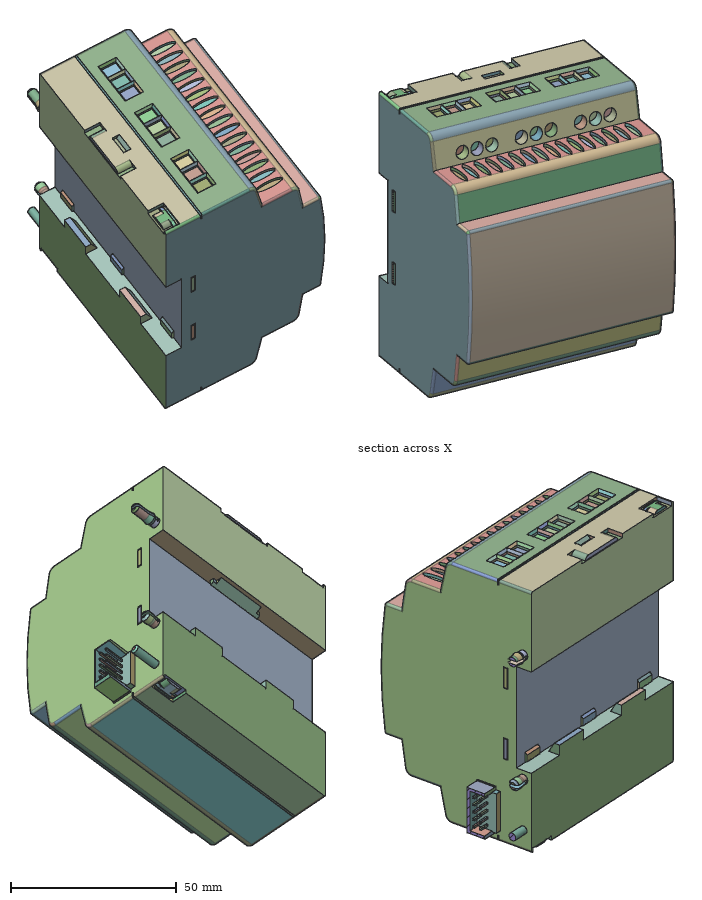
import cadquery as cq
import math

BODY_WIDTH = 71.0
BODY_HEIGHT = 90.0
BODY_DEPTH = 57.2
SIDE_X = BODY_WIDTH / 2
TOP_Z = BODY_HEIGHT / 2

TERMINAL_STEP_BASE_Y = 34.7
TERMINAL_STEP_EDGE_Y = 32.3
VENT_STEP_Z = 34.0
VENT_STEP_BASE_Y = 49.3
VENT_STEP_EDGE_Y = 47.6
FRONT_STEP_Z = 22.65
FRONT_EDGE_Y = 55.6
STEP_RADIUS = 2.7
FRONT_CORNER_RADIUS = 0.9
SIDE_EDGE_RADIUS = 0.75

RAIL_WIDTH = 35.0
RAIL_DEPTH = 5.6
RAIL_Z = RAIL_WIDTH / 2

SEAM_Y = 12.7
SEAM_WIDTH = 0.65
SEAM_DEPTH = 0.15
NICK_WIDTH = 0.35
NICK_DEPTH = 0.3
NICK_LENGTH = 1.7

TERMINAL_PITCH = 5.08
TERMINALS_PER_GROUP = 3
GROUP_PITCH = 20.35
GROUP_COUNT = 3
TERMINAL_Y = 19.45
TERMINAL_LENGTH = 6.55
MOUTH_DEPTH = 0.9
MOUTH_INSET = 0.63
TERMINAL_DEPTH = 1.7
SCREW_HOLE_DIAMETER = 4.2
SCREW_HOLE_Z = 37.4
SCREW_HOLE_END_Y = 31.0

VENT_COUNT = 16
VENT_PITCH = 4.0
VENT_Y = 40.2
VENT_LENGTH = 9.7
VENT_WIDTH = 2.4
VENT_DEPTH = 1.0

CLIP_HALF_WIDTH = 10.1
CLIP_RECESS_DEPTH = 1.35
CLIP_RECESS_END_Y = 5.5
CLIP_FLOOR_Z = TOP_Z - CLIP_RECESS_DEPTH
GRIP_START_Y = 0.3
GRIP_BASE_HALF = 8.2
GRIP_TOP_HALF = 6.45
CATCH_TIP_Y = 4.35
CATCH_REAR_Y = 4.7
CATCH_START_Y = 1.3
CATCH_DROP = 2.1
CATCH_CENTER_HALF = 8.7
CATCH_END_Y = 3.25

POCKET_HALF_WIDTH = 3.2
POCKET_START_Y = 5.5
POCKET_RAMP_Y = 6.9
POCKET_END_Y = 8.05
POCKET_DEPTH = 1.0

FOOT_X = 30.0
FOOT_HALF_WIDTH = 4.55
FOOT_STEM_START_Y = 0.65
FOOT_HEAD_START_Y = 3.6
FOOT_LEDGE_Y = 4.8
FOOT_TOP_DROP = 0.3
FOOT_LEDGE_DROP = 0.55
FOOT_STEM_BASE_HALF = 3.15
FOOT_STEM_TOP_HALF = 1.35
FOOT_HEAD_BASE_HALF = 4.3
FOOT_HEAD_TOP_HALF = 2.4

HOOK_X = 15.45
HOOK_WIDTH = 11.9
HOOK_RISE = 3.5
HOOK_TIP_Y = 2.0
HOOK_ROOT_Y = 4.1

PAD_COUNT = 3
PAD_PITCH = 28.0
PAD_WIDTH = 6.35
PAD_THICKNESS = 0.75
PAD_LOWER_CHAMFER = 0.4

RIB_HEIGHT = 0.3
RIB_LENGTH = 7.1
RIB_Z = 12.25
RIB_START_Y = 8.9
RIB_CREST_Y = 10.05
RIB_END_Y = 10.6

PROJECTION = 9.6
TIP_X = -SIDE_X - PROJECTION
PEG_Y = 3.0
PEG_RADIUS = 1.65
PEG_TIP_RADIUS = 1.15
PEG_TIP_LENGTH = 0.75
LIP_CREST_X = -38.1
LIP_END_X = -37.2
UPPER_LIP_START_X = -40.0
UPPER_LIP_RADIUS = 2.0
LOWER_LIP_RADIUS = 1.85
PEG_SLOT_WIDTH = 1.0
PEG_SLOT_END_X = -36.0
UPPER_PEG_Z = 22.4
LOWER_PEG_Z = -20.5
LOWER_PEG_TIP_X = -40.8
PIN_Z = -38.0
PIN_RADIUS = 1.35
PIN_TIP_RADIUS = 0.6
PIN_TIP_LENGTH = 0.45

SOCKET_Z = -34.46
SOCKET_HEIGHT = 15.8
SOCKET_START_Y = 13.4
SOCKET_END_Y = 20.2
SOCKET_CHAMFER = 0.75
SOCKET_RIM_WALL = 0.85
SOCKET_FLOOR_WALL = 1.4
SOCKET_BACK_WALL = 1.25
SOCKET_BASE_Y = 11.7
SOCKET_BASE_HALF = 6.8
SOCKET_FLOOR_X = -37.5
FLANGE_THICKNESS = 0.5
FLANGE_OVERHANG = 0.15
CONTACT_PITCH = 2.54
CONTACT_ROWS = 5
CONTACT_Y = (15.2, 17.7)
CONTACT_SIZE = 0.64
CONTACT_TIP_X = TIP_X + 0.3
CONTACT_POINT = 0.35
CONTACT_TIP_RATIO = 0.1

OVERLAP = 0.3


def box(x0, x1, y0, y1, z0, z1):
    return cq.Workplane("XY").box(x1 - x0, y1 - y0, z1 - z0, centered=False).translate((x0, y0, z0))


def side_prism(points, x0, x1):
    """Extrude a (Y, Z) outline from x0 to x1."""
    return cq.Workplane("YZ").workplane(offset=x0).polyline(points).close().extrude(x1 - x0)


def spread(count, pitch):
    """Positions of `count` items centred on zero."""
    return [(i - (count - 1) / 2) * pitch for i in range(count)]


def stepped_block():
    rising = [
        (TERMINAL_STEP_EDGE_Y, TOP_Z),
        (TERMINAL_STEP_BASE_Y, VENT_STEP_Z),
        (VENT_STEP_EDGE_Y, VENT_STEP_Z),
        (VENT_STEP_BASE_Y, FRONT_STEP_Z),
        (FRONT_EDGE_Y, FRONT_STEP_Z),
    ]
    outline = cq.Workplane("YZ").workplane(offset=-SIDE_X).moveTo(0, -TOP_Z).lineTo(0, TOP_Z)
    for point in rising:
        outline = outline.lineTo(*point)
    outline = outline.threePointArc((BODY_DEPTH, 0), (FRONT_EDGE_Y, -FRONT_STEP_Z))
    for y, z in reversed(rising[:-1]):
        outline = outline.lineTo(y, -z)
    block = outline.close().extrude(BODY_WIDTH)

    for corner, radius in (
        (rising[0], STEP_RADIUS),
        (rising[2], STEP_RADIUS),
        (rising[4], FRONT_CORNER_RADIUS),
    ):
        for side in (1, -1):
            point = (0, corner[0], side * corner[1])
            block = block.edges(cq.selectors.NearestToPointSelector(point)).fillet(radius)
    rim = block.faces("<X or >X").edges().filter(lambda edge: edge.Center().y > SIDE_EDGE_RADIUS)
    return block.newObject(rim.vals()).fillet(SIDE_EDGE_RADIUS)


def rail_channel():
    return box(-SIDE_X, SIDE_X, 0, RAIL_DEPTH, -RAIL_Z, RAIL_Z)


def seams():
    upper = box(
        -SIDE_X, SIDE_X,
        SEAM_Y - SEAM_WIDTH / 2, SEAM_Y + SEAM_WIDTH / 2,
        TOP_Z - SEAM_DEPTH, TOP_Z,
    )
    nick = box(
        SIDE_X - NICK_DEPTH, SIDE_X,
        SEAM_Y - NICK_WIDTH / 2, SEAM_Y + NICK_WIDTH / 2,
        TOP_Z - NICK_LENGTH, TOP_Z,
    )
    upper = upper.union(nick).union(nick.mirror("YZ"))
    return upper.union(upper.mirror("XY"))


def terminal_positions():
    return [
        group + cell
        for group in spread(GROUP_COUNT, GROUP_PITCH)
        for cell in spread(TERMINALS_PER_GROUP, TERMINAL_PITCH)
    ]


def cut_terminals(body):
    mouth_taper = math.degrees(math.atan(MOUTH_INSET / MOUTH_DEPTH))
    well_width = TERMINAL_PITCH - 2 * MOUTH_INSET
    well_length = TERMINAL_LENGTH - 2 * MOUTH_INSET
    for x in terminal_positions():
        mouth = (
            cq.Workplane("XY", origin=(x, TERMINAL_Y, TOP_Z))
            .rect(TERMINAL_PITCH, TERMINAL_LENGTH)
            .extrude(-MOUTH_DEPTH, taper=mouth_taper)
        )
        well = (
            cq.Workplane("XY", origin=(x, TERMINAL_Y, TOP_Z))
            .rect(well_width, well_length)
            .extrude(-TERMINAL_DEPTH)
        )
        screw_hole = (
            cq.Workplane("XZ", origin=(x, SCREW_HOLE_END_Y, SCREW_HOLE_Z))
            .circle(SCREW_HOLE_DIAMETER / 2)
            .extrude(SCREW_HOLE_END_Y - TERMINAL_STEP_BASE_Y)
        )
        body = body.cut(mouth).cut(well).cut(screw_hole)
    return body


def vents():
    return (
        cq.Workplane("XY", origin=(0, VENT_Y, VENT_STEP_Z))
        .pushPoints([(x, 0) for x in spread(VENT_COUNT, VENT_PITCH)])
        .ellipse(VENT_WIDTH / 2, VENT_LENGTH / 2)
        .extrude(-VENT_DEPTH)
    )


def raised_grip(x, base_half, top_half, y0, y1, top_z):
    """Ridge along Y on the recess floor, whose flanks curve level into its top."""
    rise = top_z - CLIP_FLOOR_Z
    lean = base_half - top_half
    flank_radius = (lean ** 2 + rise ** 2) / (2 * rise)
    half_sweep = math.atan2(rise, lean)
    bulge_x = top_half + flank_radius * math.sin(half_sweep)
    bulge_z = top_z - flank_radius * (1 - math.cos(half_sweep))
    return (
        cq.Workplane("XZ", origin=(x, y1, 0))
        .moveTo(-base_half, CLIP_FLOOR_Z - OVERLAP)
        .lineTo(-base_half, CLIP_FLOOR_Z)
        .threePointArc((-bulge_x, bulge_z), (-top_half, top_z))
        .lineTo(top_half, top_z)
        .threePointArc((bulge_x, bulge_z), (base_half, CLIP_FLOOR_Z))
        .lineTo(base_half, CLIP_FLOOR_Z - OVERLAP)
        .close()
        .extrude(y1 - y0)
    )


def clip_catch():
    root_z = RAIL_Z + OVERLAP
    tip_z = RAIL_Z - CATCH_DROP
    profile = [
        (CATCH_START_Y, RAIL_Z),
        (CATCH_TIP_Y, tip_z),
        (CATCH_REAR_Y, RAIL_Z),
        (CATCH_REAR_Y, root_z),
        (CATCH_START_Y, root_z),
    ]
    catch = side_prism(profile, -CLIP_HALF_WIDTH, CLIP_HALF_WIDTH)
    for side in (1, -1):
        x0, x1 = sorted((side * CATCH_CENTER_HALF, side * CLIP_HALF_WIDTH))
        catch = catch.cut(box(x0, x1, 0, CATCH_END_Y, tip_z, RAIL_Z))
    return catch


def add_rail_clip(body):
    recess = box(
        -CLIP_HALF_WIDTH, CLIP_HALF_WIDTH, 0, CLIP_RECESS_END_Y, CLIP_FLOOR_Z, TOP_Z
    )
    pocket = side_prism(
        [
            (POCKET_START_Y, TOP_Z),
            (POCKET_END_Y, TOP_Z),
            (POCKET_RAMP_Y, TOP_Z - POCKET_DEPTH),
            (POCKET_START_Y, TOP_Z - POCKET_DEPTH),
        ],
        -POCKET_HALF_WIDTH,
        POCKET_HALF_WIDTH,
    )
    grip = raised_grip(0, GRIP_BASE_HALF, GRIP_TOP_HALF, GRIP_START_Y, CLIP_RECESS_END_Y, TOP_Z)
    return body.cut(recess).union(grip).cut(pocket).union(clip_catch())


def add_corner_feet(body):
    recess = box(
        FOOT_X - FOOT_HALF_WIDTH, FOOT_X + FOOT_HALF_WIDTH,
        0, CLIP_RECESS_END_Y,
        CLIP_FLOOR_Z, TOP_Z,
    )
    stem_base, stem_top = FOOT_STEM_BASE_HALF, FOOT_STEM_TOP_HALF
    head_base, head_top = FOOT_HEAD_BASE_HALF, FOOT_HEAD_TOP_HALF
    foot_z = TOP_Z - FOOT_TOP_DROP
    ledge_z = TOP_Z - FOOT_LEDGE_DROP
    stem = raised_grip(FOOT_X, stem_base, stem_top, FOOT_STEM_START_Y, FOOT_HEAD_START_Y, foot_z)
    head = raised_grip(FOOT_X, head_base, head_top, FOOT_HEAD_START_Y, FOOT_LEDGE_Y, foot_z)
    ledge = raised_grip(FOOT_X, head_base, head_top, FOOT_LEDGE_Y, CLIP_RECESS_END_Y, ledge_z)
    foot = stem.union(head).union(ledge).clean()
    for turn in (0, 180):
        body = body.cut(recess.rotate((0, 0, 0), (0, 1, 0), turn))
        body = body.union(foot.rotate((0, 0, 0), (0, 1, 0), turn))
    return body


def add_rail_hooks(body):
    profile = [
        (0, -RAIL_Z - OVERLAP),
        (0, -RAIL_Z + HOOK_RISE),
        (HOOK_TIP_Y, -RAIL_Z + HOOK_RISE),
        (HOOK_ROOT_Y, -RAIL_Z),
        (HOOK_ROOT_Y, -RAIL_Z - OVERLAP),
    ]
    for x in (-HOOK_X, HOOK_X):
        body = body.union(side_prism(profile, x - HOOK_WIDTH / 2, x + HOOK_WIDTH / 2))
    return body


def add_rail_pads(body):
    top = -RAIL_Z + HOOK_RISE
    face_y = RAIL_DEPTH - PAD_THICKNESS
    profile = [
        (RAIL_DEPTH + OVERLAP, top),
        (RAIL_DEPTH, top),
        (face_y, top - PAD_THICKNESS),
        (face_y, -RAIL_Z + PAD_LOWER_CHAMFER),
        (RAIL_DEPTH, -RAIL_Z),
        (RAIL_DEPTH + OVERLAP, -RAIL_Z),
    ]
    for x in spread(PAD_COUNT, PAD_PITCH):
        body = body.union(side_prism(profile, x - PAD_WIDTH / 2, x + PAD_WIDTH / 2))
    return body


def add_side_ribs(body):
    inner_x = SIDE_X - OVERLAP
    crest_x = SIDE_X + RIB_HEIGHT
    for z in (RIB_Z, -RIB_Z):
        rib = (
            cq.Workplane("XY", origin=(0, 0, z - RIB_LENGTH / 2))
            .polyline([
                (inner_x, RIB_START_Y),
                (crest_x, RIB_START_Y),
                (crest_x, RIB_CREST_Y),
                (SIDE_X, RIB_END_Y),
                (inner_x, RIB_END_Y),
            ])
            .close()
            .extrude(RIB_LENGTH)
        )
        body = body.union(rib).union(rib.mirror("YZ"))
    return body


def turned_piece(z, profile):
    """Revolve (X, radius) points about an axis along X at the peg line."""
    first_x = profile[0][0]
    last_x = profile[-1][0]
    outline = [(first_x, 0)] + profile + [(last_x, 0)]
    return (
        cq.Workplane("XY", origin=(0, PEG_Y, z))
        .polyline(outline)
        .close()
        .revolve(360, (0, 0, 0), (1, 0, 0))
    )


def snap_peg(z, tip_x, shoulder, lip_radius):
    """Slotted peg; `shoulder` lists the (X, radius) points between tip and lip crest."""
    peg = turned_piece(z, [
        (tip_x, PEG_TIP_RADIUS),
        *shoulder,
        (LIP_CREST_X, lip_radius),
        (LIP_END_X, PEG_RADIUS),
        (-SIDE_X + OVERLAP, PEG_RADIUS),
    ])
    slot = box(
        tip_x, PEG_SLOT_END_X,
        PEG_Y - lip_radius, PEG_Y + lip_radius,
        z - PEG_SLOT_WIDTH / 2, z + PEG_SLOT_WIDTH / 2,
    )
    return peg.cut(slot)


def guide_pin():
    return turned_piece(PIN_Z, [
        (TIP_X, PIN_TIP_RADIUS),
        (TIP_X + PIN_TIP_LENGTH, PIN_RADIUS),
        (-SIDE_X + OVERLAP, PIN_RADIUS),
    ])


def contact(y, z):
    shoulder_x = CONTACT_TIP_X + CONTACT_POINT
    shaft = (
        cq.Workplane("YZ", origin=(shoulder_x, y, z))
        .rect(CONTACT_SIZE, CONTACT_SIZE)
        .extrude(SOCKET_FLOOR_X + OVERLAP - shoulder_x)
    )
    point = (
        cq.Workplane("YZ", origin=(shoulder_x, y, z))
        .rect(CONTACT_SIZE, CONTACT_SIZE)
        .workplane(offset=-CONTACT_POINT)
        .rect(CONTACT_SIZE * CONTACT_TIP_RATIO, CONTACT_SIZE * CONTACT_TIP_RATIO)
        .loft(ruled=True)
    )
    return shaft.union(point)


def connector():
    half = SOCKET_HEIGHT / 2
    rim_half = half - SOCKET_RIM_WALL
    floor_half = half - SOCKET_FLOOR_WALL
    inner_y = SOCKET_END_Y - SOCKET_BACK_WALL
    root_x = -SIDE_X + OVERLAP
    shell = box(TIP_X, root_x, SOCKET_START_Y, SOCKET_END_Y, SOCKET_Z - half, SOCKET_Z + half)
    shell = shell.faces("<X").edges(">Y or <Z or >Z").chamfer(SOCKET_CHAMFER)
    cavity = (
        cq.Workplane("XZ", origin=(0, inner_y, SOCKET_Z))
        .polyline([
            (TIP_X, rim_half),
            (SOCKET_FLOOR_X, floor_half),
            (SOCKET_FLOOR_X, -floor_half),
            (TIP_X, -rim_half),
        ])
        .close()
        .extrude(inner_y - SOCKET_START_Y)
    )
    flange = box(
        -SIDE_X - FLANGE_THICKNESS, root_x,
        SOCKET_START_Y, SOCKET_END_Y + FLANGE_OVERHANG,
        SOCKET_Z - half - FLANGE_OVERHANG, SOCKET_Z + half + FLANGE_OVERHANG,
    )
    base = box(
        SOCKET_FLOOR_X, root_x,
        SOCKET_BASE_Y, inner_y,
        SOCKET_Z - SOCKET_BASE_HALF, SOCKET_Z + SOCKET_BASE_HALF,
    )
    socket = shell.cut(cavity).union(flange).union(base)
    for y in CONTACT_Y:
        for offset in spread(CONTACT_ROWS, CONTACT_PITCH):
            socket = socket.union(contact(y, SOCKET_Z + offset))
    return socket


housing = stepped_block().cut(rail_channel()).cut(seams()).cut(vents())
housing = cut_terminals(housing)
housing = add_rail_clip(housing)
housing = add_corner_feet(housing)
housing = add_rail_hooks(housing)
housing = add_rail_pads(housing)
housing = add_side_ribs(housing)
upper_shoulder = [(TIP_X + PEG_TIP_LENGTH, PEG_RADIUS), (UPPER_LIP_START_X, PEG_RADIUS)]
lower_shoulder = [(LOWER_PEG_TIP_X + PEG_TIP_LENGTH, LOWER_LIP_RADIUS)]
housing = housing.union(snap_peg(UPPER_PEG_Z, TIP_X, upper_shoulder, UPPER_LIP_RADIUS))
housing = housing.union(snap_peg(LOWER_PEG_Z, LOWER_PEG_TIP_X, lower_shoulder, LOWER_LIP_RADIUS))
housing = housing.union(guide_pin())
result = housing.union(connector())